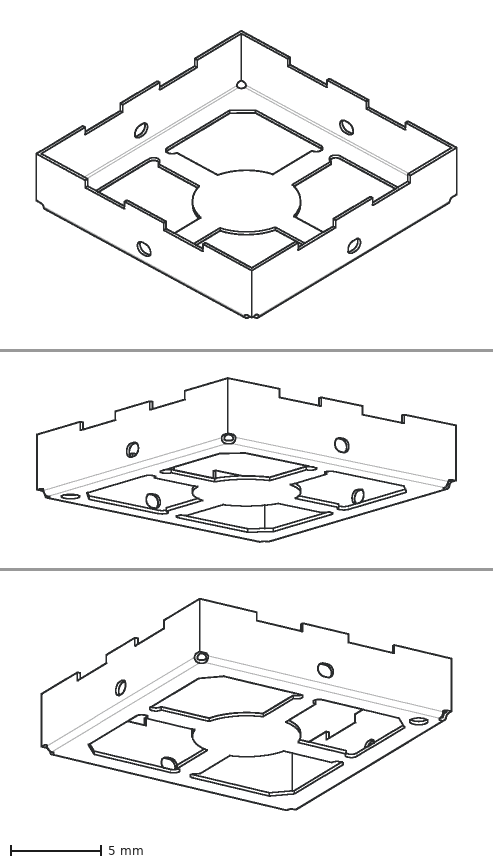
import cadquery as cq

width = 16.5
height = 3.6
sheet = 0.2
bend_inner_radius = 0.1
bend_outer_radius = bend_inner_radius + sheet
half_width = width / 2

relief_width = 0.56
relief_height = 0.43
relief_floor_radius = 0.23
relief_wall_radius = 0.21

notch_width = 3.0
notch_depth = 0.5
notch_offset = notch_width

slot_length = 1.0
slot_height = 0.8
slot_z = 1.1

window_reach = 6.75
window_chamfer = 1.0
arm_half_width = 0.75
disc_radius = 3.0
arm_relief_radius = 0.35

corner_hole_diameter = 1.0
corner_hole_offset = 6.93


def box_on_floor(size_x, size_y, size_z, x=0.0, y=0.0, z=0.0):
    """Box centred on (x, y) with its lower face at height z."""
    return cq.Workplane("XY").box(size_x, size_y, size_z, centered=(True, True, False)).translate((x, y, z))


def folded_tray():
    """Open tray with sharp vertical corners and rounded bends around the floor."""
    inner_width = width - 2 * sheet
    outside = box_on_floor(width, width, height).faces("<Z").edges().fillet(bend_outer_radius)
    inside = box_on_floor(inner_width, inner_width, height, z=sheet)
    inside = inside.faces("<Z").edges().fillet(bend_inner_radius)
    return outside.cut(inside)


def corner_relief():
    """Rounded block that separates the two bends meeting at the -X -Y corner."""
    centre = relief_width / 2 - half_width
    return (
        box_on_floor(relief_width, relief_width, relief_height, x=centre, y=centre)
        .edges("|Z and >X and >Y")
        .fillet(relief_floor_radius)
        .faces(">Z")
        .edges(">X or >Y")
        .fillet(relief_wall_radius)
    )


def wall_cuts():
    """Top notches and slots, each running through a pair of opposite walls."""
    cuts = (
        cq.Workplane("XZ")
        .center(0, slot_z)
        .slot2D(slot_length, slot_height)
        .extrude(half_width, both=True)
    )
    for x in (-notch_offset, notch_offset):
        cuts = cuts.union(box_on_floor(notch_width, width, notch_depth, x=x, z=height - notch_depth))
    return cuts


def floor_window():
    """Window in the +X +Y quarter, with round reliefs at the outer ends of the arms."""
    chamfer_start = window_reach - window_chamfer
    window = (
        cq.Workplane("XY")
        .moveTo(arm_half_width, arm_half_width)
        .lineTo(window_reach, arm_half_width)
        .lineTo(window_reach, chamfer_start)
        .lineTo(chamfer_start, window_reach)
        .lineTo(arm_half_width, window_reach)
        .close()
        .extrude(sheet)
    )
    relief_reach = window_reach - arm_relief_radius
    arm_reliefs = (
        cq.Workplane("XY")
        .pushPoints([(arm_half_width, relief_reach), (relief_reach, arm_half_width)])
        .circle(arm_relief_radius)
        .extrude(sheet)
    )
    disc = cq.Workplane("XY").circle(disc_radius).extrude(sheet)
    return window.union(arm_reliefs).cut(disc)


def corner_hole():
    """Round hole in the +X +Y corner of the floor."""
    return (
        cq.Workplane("XY")
        .center(corner_hole_offset, corner_hole_offset)
        .circle(corner_hole_diameter / 2)
        .extrude(sheet)
    )


z_axis = ((0, 0, 0), (0, 0, 1))
result = folded_tray().cut(corner_hole())
for angle in (0, 90):
    result = result.cut(wall_cuts().rotate(*z_axis, angle))
for angle in (0, 90, 180, 270):
    result = result.cut(corner_relief().rotate(*z_axis, angle))
    result = result.cut(floor_window().rotate(*z_axis, angle))